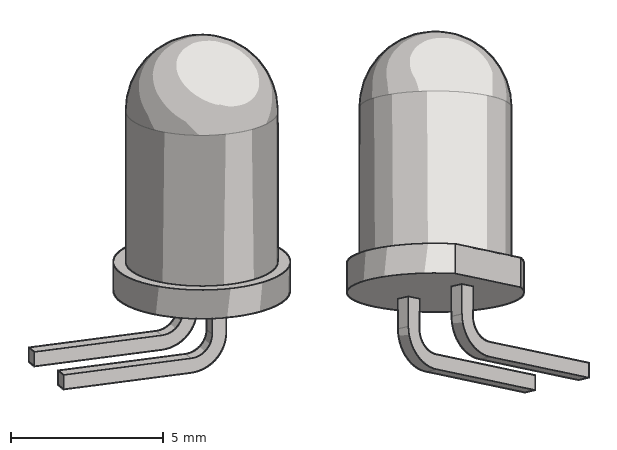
import cadquery as cq

lens_radius = 2.5
lens_height = 8.7
flange_radius = 2.9
flange_height = 1.0
lead_width = 0.5
lead_spacing = 2.54
lead_drop = 2.25
lead_reach = 5.5
bend_inner_radius = 0.75


def make_lens():
    """Cylinder closed by a hemispherical dome."""
    dome_base = lens_height - lens_radius
    profile = (
        cq.Workplane("XZ")
        .lineTo(lens_radius, 0)
        .lineTo(lens_radius, dome_base)
        .radiusArc((0, lens_height), -lens_radius)
        .close()
    )
    return profile.revolve(360, (0, 0, 0), (0, 1, 0))


def make_flange():
    """Disc with its -X side cut flat, tangent to the lens."""
    disc = cq.Workplane("XY").circle(flange_radius).extrude(flange_height)
    kept_length = lens_radius + flange_radius
    kept_side = (
        cq.Workplane("XY")
        .box(kept_length, 2 * flange_radius, flange_height, centered=(False, True, False))
        .translate((-lens_radius, 0, 0))
    )
    return disc.intersect(kept_side)


def make_lead(x_center):
    """Square lead running down from the flange, then bent toward -Y."""
    half_width = lead_width / 2
    bend_outer_radius = bend_inner_radius + lead_width
    bend_start_z = bend_outer_radius - lead_drop
    bend_end_y = half_width - bend_outer_radius
    return (
        cq.Workplane("YZ", origin=(x_center, 0, 0))
        .moveTo(half_width, 0)
        .lineTo(half_width, bend_start_z)
        .radiusArc((bend_end_y, -lead_drop), bend_outer_radius)
        .lineTo(-lead_reach, -lead_drop)
        .lineTo(-lead_reach, lead_width - lead_drop)
        .lineTo(bend_end_y, lead_width - lead_drop)
        .radiusArc((-half_width, bend_start_z), -bend_inner_radius)
        .lineTo(-half_width, 0)
        .close()
        .extrude(half_width, both=True)
    )


result = make_lens().union(make_flange())
for side in (-1, 1):
    result = result.union(make_lead(side * lead_spacing / 2))